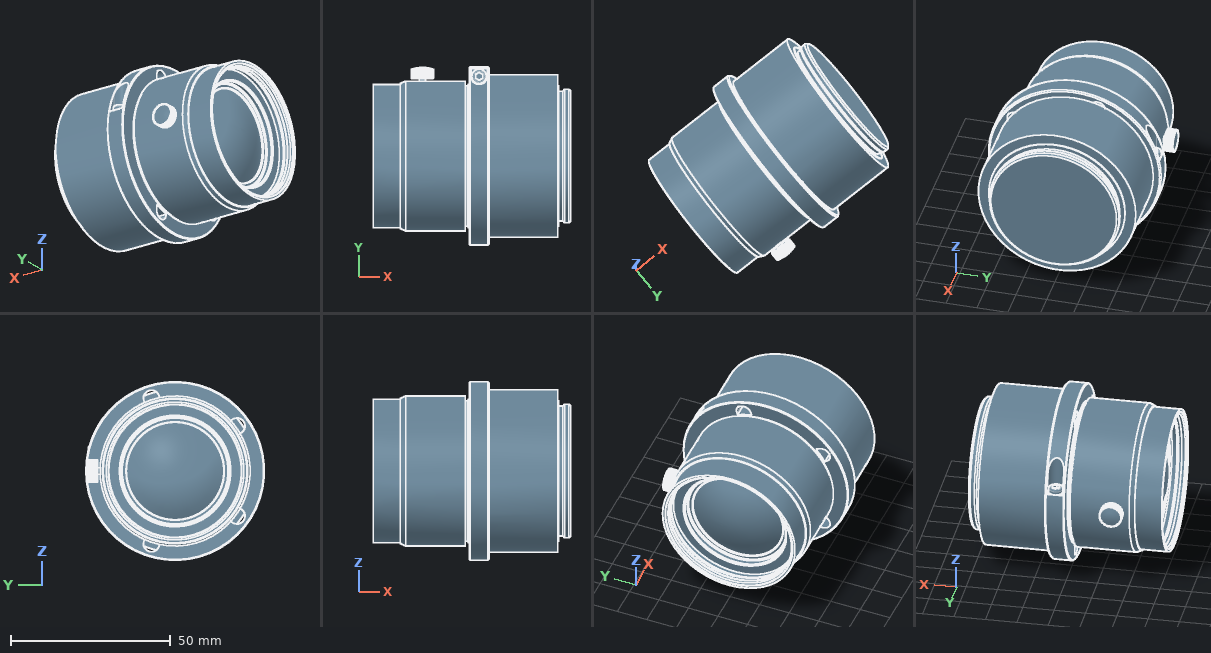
import cadquery as cq
import math

LENGTH = 62.0

TUBE_D = 45.0
BARREL_D = 47.05
SHOULDER_D = 45.65
SHOULDER_X = 8.55
BARREL_X = 10.2
BARREL_END = 28.95

NECK_D = 44.15
NECK_CONE_X = 29.5
NECK_CONE = 0.4

FLANGE_D = 56.0
FLANGE_X = 30.15
FLANGE_END = 36.35
FLANGE_FRONT_CHAMFER = 0.25
FLANGE_REAR_CHAMFER = 0.45

BODY_D = 51.05
BODY_END = 57.9
STEP_D = NECK_D
STEP_END = 58.15
UNDERCUT_D = 40.8
UNDERCUT_END = 59.45
THREAD_D = 42.0
THREAD_CHAMFER = 0.6

MOUTH_D = 43.2
MOUTH_DEPTH = 0.4
LEAD_IN_D = 42.0
LEAD_IN_X = 0.75
FILTER_D = 41.55
FILTER_X = 1.8
RELIEF_X = 2.85
RELIEF_END = 3.35
SEAT_X = 4.9
SEAT_BORE_D = 35.0
SEAT_BORE_END = 5.35
RETAINER_D = 34.1
RETAINER_X = 6.95
RETAINER_STEP_D = 33.2
RETAINER_STEP_X = 7.2
LENS_BORE_D = 30.9
LENS_D = 30.5
LENS_RIM_X = 7.55
LENS_APEX_X = 2.2

SLOT_WIDTH = 5.0
SLOT_CENTRE_D = 47.9
SLOT_WALL_D = 46.25
SLOT_PITCH = 72
SLOT_ANGLES = [SLOT_PITCH * step for step in (-2, -1, 1, 2)]

SCREW_X = (FLANGE_X + FLANGE_END) / 2
SCREW_Y = 25.0
POCKET_WIDTH = 5.0
POCKET_FLOOR_Z = 6.0
SCREW_HEAD_D = 4.5
SCREW_HEAD_HEIGHT = 1.75
SCREW_HEAD_FILLET = 0.55
HEX_CORNERS_D = 2.5
HEX_DEPTH = 0.9

KNOB_X = 15.45
KNOB_D = 7.15
KNOB_Y = 24.3
KNOB_RIM_Y = 27.3
KNOB_DOME_D = 6.5
KNOB_DOME_HEIGHT = 0.55
KNOB_CHAMFER = 0.25
KNURL_COUNT = 22
KNURL_WIDTH = math.pi * KNOB_D / KNURL_COUNT / 2
KNURL_DEPTH = 0.2
PIN_D = 2.05
PIN_DEPTH = 1.25


def lens_shell():
    """Everything that is round about the lens axis, as one revolved profile."""
    lens_r = LENS_D / 2
    sag = LENS_RIM_X - LENS_APEX_X
    dome_r = (lens_r**2 + sag**2) / (2 * sag)
    half_angle = math.asin(lens_r / dome_r) / 2
    dome_mid = (LENS_APEX_X + dome_r * (1 - math.cos(half_angle)), dome_r * math.sin(half_angle))
    opening = [
        (LENS_RIM_X, lens_r),
        (LENS_RIM_X, LENS_BORE_D / 2),
        (RETAINER_STEP_X, LENS_BORE_D / 2),
        (RETAINER_STEP_X, RETAINER_STEP_D / 2),
        (RETAINER_X, RETAINER_STEP_D / 2),
        (RETAINER_X, RETAINER_D / 2),
        (SEAT_BORE_END, RETAINER_D / 2),
        (SEAT_BORE_END, SEAT_BORE_D / 2),
        (SEAT_X, SEAT_BORE_D / 2),
        (SEAT_X, FILTER_D / 2),
        (RELIEF_END, FILTER_D / 2),
        (RELIEF_END, MOUTH_D / 2),
        (RELIEF_X, MOUTH_D / 2),
        (RELIEF_X, FILTER_D / 2),
        (FILTER_X, FILTER_D / 2),
        (FILTER_X, LEAD_IN_D / 2),
        (LEAD_IN_X, LEAD_IN_D / 2),
        (MOUTH_DEPTH, MOUTH_D / 2),
        (0, MOUTH_D / 2),
    ]
    barrel = [
        (0, TUBE_D / 2),
        (SHOULDER_X, TUBE_D / 2),
        (SHOULDER_X, SHOULDER_D / 2),
        (BARREL_X, BARREL_D / 2),
        (BARREL_END, BARREL_D / 2),
        (BARREL_END, NECK_D / 2),
        (NECK_CONE_X, NECK_D / 2),
        (NECK_CONE_X + NECK_CONE, NECK_D / 2 + NECK_CONE),
        (FLANGE_X, NECK_D / 2 + NECK_CONE),
    ]
    flange = [
        (FLANGE_X, FLANGE_D / 2 - FLANGE_FRONT_CHAMFER),
        (FLANGE_X + FLANGE_FRONT_CHAMFER, FLANGE_D / 2),
        (FLANGE_END - FLANGE_REAR_CHAMFER, FLANGE_D / 2),
        (FLANGE_END, FLANGE_D / 2 - FLANGE_REAR_CHAMFER),
    ]
    thread_rise = (THREAD_D - UNDERCUT_D) / 2
    rear = [
        (FLANGE_END, BODY_D / 2),
        (BODY_END, BODY_D / 2),
        (BODY_END, STEP_D / 2),
        (STEP_END, STEP_D / 2),
        (STEP_END, UNDERCUT_D / 2),
        (UNDERCUT_END, UNDERCUT_D / 2),
        (UNDERCUT_END + thread_rise, THREAD_D / 2),
        (LENGTH - THREAD_CHAMFER, THREAD_D / 2),
        (LENGTH, THREAD_D / 2 - THREAD_CHAMFER),
        (LENGTH, 0),
    ]
    profile = cq.Workplane("XY").moveTo(LENS_APEX_X, 0).threePointArc(dome_mid, (LENS_RIM_X, lens_r))
    for point in opening[1:] + barrel + flange + rear:
        profile = profile.lineTo(*point)
    return profile.close().revolve(360, (0, 0, 0), (1, 0, 0))


def flange_slots():
    """Slots through the flange with a round outer end, closed inwards by a round wall about the axis."""
    inner_length = (SLOT_CENTRE_D - SLOT_WALL_D) / 2 + SLOT_WIDTH / 2
    thickness = FLANGE_END - FLANGE_X
    start = cq.Workplane("YZ", origin=(FLANGE_X, 0, 0))
    slot = (
        start.center(SLOT_CENTRE_D / 2, 0)
        .circle(SLOT_WIDTH / 2)
        .extrude(thickness)
        .union(
            start.center((SLOT_CENTRE_D - inner_length) / 2, 0)
            .rect(inner_length, SLOT_WIDTH)
            .extrude(thickness)
        )
        .cut(start.circle(SLOT_WALL_D / 2).extrude(thickness))
    )
    slots = cq.Workplane("YZ")
    for angle in SLOT_ANGLES:
        slots = slots.add(slot.rotate((0, 0, 0), (1, 0, 0), angle))
    return slots.combine()


def screw_pocket():
    """U-shaped pocket, open upwards and towards +Y."""
    reach = FLANGE_D / 2
    floor = cq.Workplane("XY", origin=(SCREW_X, SCREW_Y, POCKET_FLOOR_Z))
    round_end = floor.circle(POCKET_WIDTH / 2).extrude(reach)
    open_end = floor.center(0, reach / 2).rect(POCKET_WIDTH, reach).extrude(reach)
    return round_end.union(open_end)


def clamp_screw():
    head = (
        cq.Workplane("XY", origin=(SCREW_X, SCREW_Y, POCKET_FLOOR_Z))
        .circle(SCREW_HEAD_D / 2)
        .extrude(SCREW_HEAD_HEIGHT)
        .faces(">Z")
        .edges()
        .fillet(SCREW_HEAD_FILLET)
    )
    socket = (
        cq.Workplane("XY", origin=(SCREW_X, SCREW_Y, POCKET_FLOOR_Z + SCREW_HEAD_HEIGHT))
        .transformed(rotate=(0, 0, 90))
        .polygon(6, HEX_CORNERS_D)
        .extrude(-HEX_DEPTH)
    )
    return head.cut(socket)


def knob():
    """Knurled, domed knob on its pin, turned about Y."""
    knob_r = KNOB_D / 2
    dome_r = KNOB_DOME_D / 2
    dome_top = KNOB_RIM_Y + KNOB_DOME_HEIGHT
    sphere_r = (dome_r**2 + KNOB_DOME_HEIGHT**2) / (2 * KNOB_DOME_HEIGHT)
    half_angle = math.asin(dome_r / sphere_r) / 2
    dome_mid = (sphere_r * math.sin(half_angle), dome_top - sphere_r * (1 - math.cos(half_angle)))
    pin_y = BARREL_D / 2 - PIN_DEPTH
    turned = (
        cq.Workplane("XY")
        .moveTo(0, pin_y)
        .lineTo(PIN_D / 2, pin_y)
        .lineTo(PIN_D / 2, KNOB_Y)
        .lineTo(knob_r - KNOB_CHAMFER, KNOB_Y)
        .lineTo(knob_r, KNOB_Y + KNOB_CHAMFER)
        .lineTo(knob_r, KNOB_RIM_Y)
        .lineTo(dome_r, KNOB_RIM_Y)
        .threePointArc(dome_mid, (0, dome_top))
        .close()
        .revolve(360, (0, 0, 0), (0, 1, 0))
    )
    grooves = (
        cq.Workplane("XZ", origin=(0, KNOB_RIM_Y, 0))
        .polarArray(knob_r, 0, 360, KNURL_COUNT)
        .rect(2 * KNURL_DEPTH, KNURL_WIDTH)
        .extrude(KNOB_RIM_Y - KNOB_Y)
    )
    return turned.cut(grooves).translate((KNOB_X, 0, 0))


result = lens_shell().cut(flange_slots()).cut(screw_pocket()).union(clamp_screw()).union(knob())